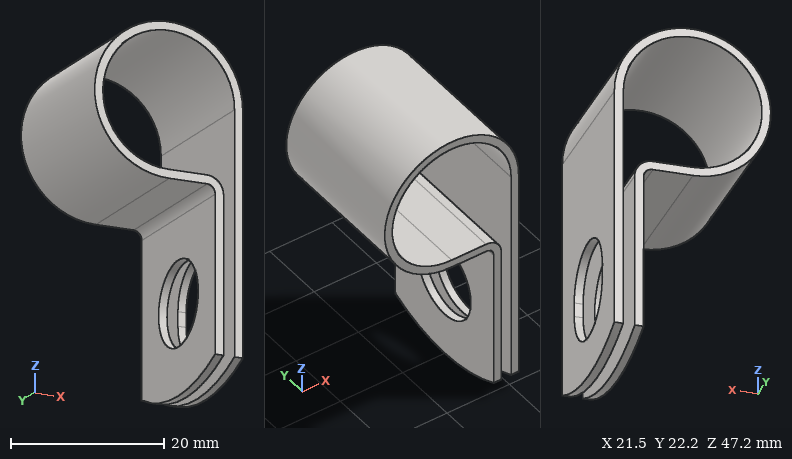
import cadquery as cq
import math

bore_diameter = 19.05
thickness = 1.22
width = 22.225
leg_gap = 1.5875
bend_inner_radius = 1.22
height = 47.24
end_radius = 25.4
hole_diameter = 11.906
slot_length = 13.9
hole_drop = 23.8125

inner_radius = bore_diameter / 2
outer_radius = inner_radius + thickness
bend_outer_radius = bend_inner_radius + thickness
short_leg_outside = inner_radius - leg_gap
short_leg_inside = short_leg_outside - thickness
bend_x = short_leg_inside - bend_inner_radius
bend_z = -outer_radius - bend_inner_radius
bottom_z = outer_radius - height


def make_strap():
    """Bent strip: long leg, three-quarter loop, shelf, bend and short leg."""
    diagonal = math.sqrt(0.5)
    bend_outer_mid = (bend_x + bend_outer_radius * diagonal, bend_z + bend_outer_radius * diagonal)
    bend_inner_mid = (bend_x + bend_inner_radius * diagonal, bend_z + bend_inner_radius * diagonal)
    outer_mid = (-outer_radius * diagonal, outer_radius * diagonal)
    inner_mid = (-inner_radius * diagonal, inner_radius * diagonal)
    return (
        cq.Workplane("XZ")
        .moveTo(inner_radius, bottom_z)
        .lineTo(outer_radius, bottom_z)
        .lineTo(outer_radius, 0)
        .threePointArc(outer_mid, (0, -outer_radius))
        .lineTo(bend_x, -outer_radius)
        .threePointArc(bend_inner_mid, (short_leg_inside, bend_z))
        .lineTo(short_leg_inside, bottom_z)
        .lineTo(short_leg_outside, bottom_z)
        .lineTo(short_leg_outside, bend_z)
        .threePointArc(bend_outer_mid, (bend_x, -inner_radius))
        .lineTo(0, -inner_radius)
        .threePointArc(inner_mid, (inner_radius, 0))
        .close()
        .extrude(width / 2, both=True)
    )


def make_end_envelope():
    """Block along X with the rounded lower end that both legs are trimmed to."""
    half_width = width / 2
    sagitta = end_radius - math.sqrt(end_radius**2 - half_width**2)
    corner_z = bottom_z + sagitta
    return (
        cq.Workplane("YZ")
        .moveTo(-half_width, outer_radius)
        .lineTo(-half_width, corner_z)
        .threePointArc((0, bottom_z), (half_width, corner_z))
        .lineTo(half_width, outer_radius)
        .close()
        .extrude(outer_radius, both=True)
    )


def bolt_axis_plane(start_x):
    """Workplane across the bolt axis, facing +X, at the given X."""
    return cq.Workplane("YZ", origin=(start_x, 0, -hole_drop))


def make_round_hole():
    """Round bolt hole through the short leg."""
    return (
        bolt_axis_plane(short_leg_inside)
        .circle(hole_diameter / 2)
        .extrude(thickness)
    )


def make_slotted_hole():
    """Vertical obround through the long leg, as wide as the round hole."""
    return (
        bolt_axis_plane(inner_radius)
        .slot2D(slot_length, hole_diameter, 90)
        .extrude(thickness)
    )


result = (
    make_strap()
    .intersect(make_end_envelope())
    .cut(make_round_hole())
    .cut(make_slotted_hole())
)